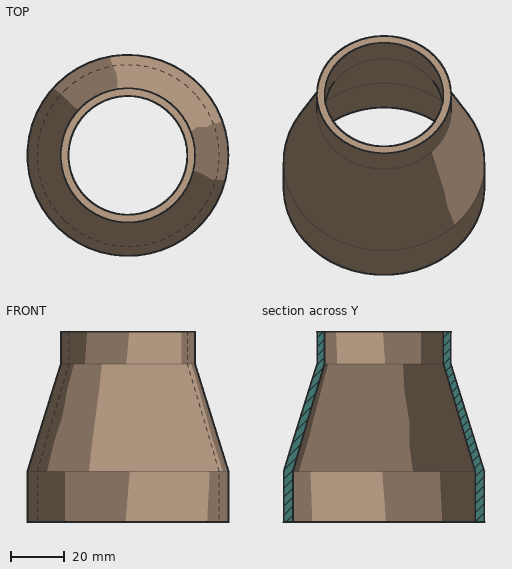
import cadquery as cq

large_diameter = 75.0
small_diameter = 50.0
large_wall = 3.6
small_wall = 2.9

total_height = 71.0
large_collar_height = 19.0
small_collar_height = 12.0
cone_top = total_height - small_collar_height


def stepped_cone(large_radius, small_radius):
    """Solid of two cylinders joined by a cone, revolved about Z."""
    return (
        cq.Workplane("XZ")
        .moveTo(0, 0)
        .lineTo(large_radius, 0)
        .lineTo(large_radius, large_collar_height)
        .lineTo(small_radius, cone_top)
        .lineTo(small_radius, total_height)
        .lineTo(0, total_height)
        .close()
        .revolve(360, (0, 0, 0), (0, 1, 0))
    )


outer_body = stepped_cone(large_diameter / 2, small_diameter / 2)

bore = stepped_cone(
    large_diameter / 2 - large_wall,
    small_diameter / 2 - small_wall,
)

result = outer_body.cut(bore)